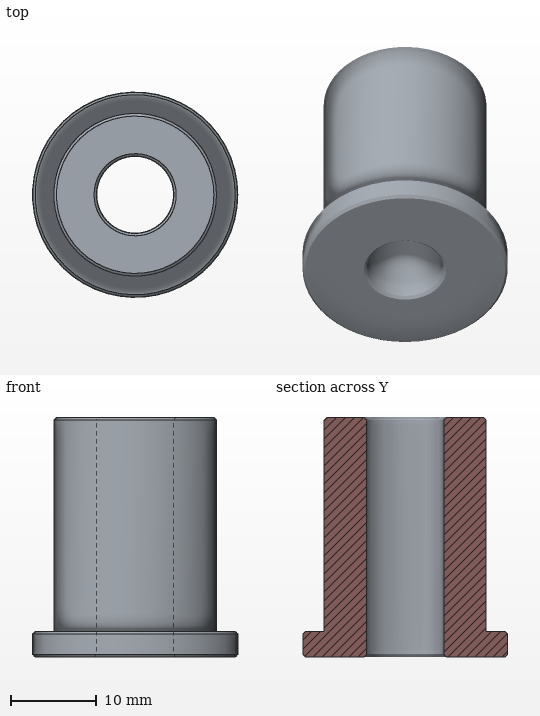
import cadquery as cq

total_height = 28.0
flange_diameter = 24.0
flange_thickness = 3.0
body_diameter = 19.0
bore_diameter = 9.0
edge_chamfer = 0.3

flange = (
    cq.Workplane("XY")
    .circle(flange_diameter / 2)
    .extrude(flange_thickness)
    .edges()
    .chamfer(edge_chamfer)
)

body = (
    cq.Workplane("XY")
    .circle(body_diameter / 2)
    .extrude(total_height)
    .faces(">Z")
    .edges()
    .chamfer(edge_chamfer)
)

bushing = flange.union(body).faces(">Z").workplane().hole(bore_diameter)
bore_mouths = cq.selectors.RadiusNthSelector(0)
result = bushing.faces("|Z").edges(bore_mouths).chamfer(edge_chamfer)